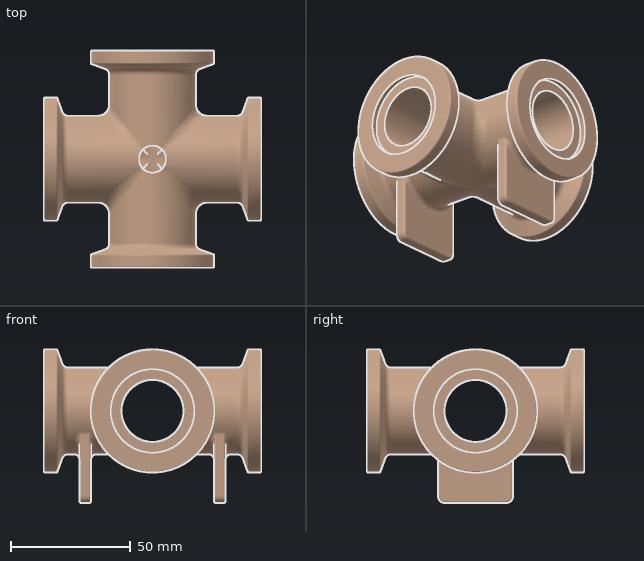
import cadquery as cq
import math

span = 91.2
half_span = span / 2
overall_height = 64.6
bore_radius = 25.9 / 2
pipe_radius = 36.6 / 2
crotch_fillet = 4.4

flange_radius = 51.8 / 2
rim_thickness = 5.65
taper_angle = 20.0
rim_fillet = 0.7
neck_fillet = 2.3
recess_radius = 35.0 / 2
recess_depth = 2.55

top_hole_radius = 11.3 / 2

fin_thickness = 5.0
fin_width = 31.55
fin_offset = 28.2
fin_bottom = flange_radius - overall_height
fin_top = -7.3
fin_corner_radius = 3.0
fin_edge_fillet = 1.0
fin_root_fillet = 2.0

selection_margin = 0.5


def edges_within(low, high):
    """Selector for the edges lying wholly inside the box between two corners."""
    return cq.selectors.BoxSelector(low, high, boundingbox=True)


def turned(shape, angle):
    """Copy of a shape turned about the Z axis."""
    return shape.rotate((0, 0, 0), (0, 0, 1), angle)


def flanged_pipe():
    """Solid pipe along X whose ends flare through blended tapers into rounded flange rims."""
    rim_back = half_span - rim_thickness
    taper_length = (flange_radius - pipe_radius) * math.tan(math.radians(taper_angle))
    taper_end = rim_back - taper_length
    profile = [
        (-half_span, 0),
        (-half_span, flange_radius),
        (-rim_back, flange_radius),
        (-taper_end, pipe_radius),
        (taper_end, pipe_radius),
        (rim_back, flange_radius),
        (half_span, flange_radius),
        (half_span, 0),
    ]
    pipe = cq.Workplane("XY").polyline(profile).close().revolve(360, (0, 0, 0), (1, 0, 0))
    reach = pipe_radius + selection_margin
    necks = edges_within((-half_span, -reach, -reach), (half_span, reach, reach))
    rim_circles = [edge for edge in pipe.edges("%CIRCLE").vals() if edge.radius() > reach]
    pipe = pipe.newObject(rim_circles).fillet(rim_fillet)
    return pipe.edges("%CIRCLE").edges(necks).fillet(neck_fillet)


def pipe_cross():
    """Two crossing flanged pipes with their crotches rounded."""
    cross = flanged_pipe().union(turned(flanged_pipe(), 90))
    reach = pipe_radius + selection_margin
    seams = edges_within((-reach, -reach, -reach), (reach, reach, reach))
    return cross.edges(seams).fillet(crotch_fillet)


def fin():
    """Upright plate centred on X = 0 with rounded lower corners and softened edges."""
    height = fin_top - fin_bottom
    plate = cq.Workplane("XY").box(fin_thickness, fin_width, height, centered=(True, True, False))
    plate = plate.edges("|X and <Z").fillet(fin_corner_radius)
    plate = plate.faces("<X or >X").edges("not >Z").fillet(fin_edge_fillet)
    return plate.translate((0, 0, fin_bottom))


def add_fin(body, centre_x):
    """Join a fin to the pipe and blend the seam between them."""
    joined = body.union(fin().translate((centre_x, 0, 0)))
    half_length = fin_thickness / 2 + selection_margin
    seam = edges_within(
        (centre_x - half_length, -pipe_radius, -pipe_radius - selection_margin),
        (centre_x + half_length, pipe_radius, fin_top),
    )
    return joined.edges(seam).fillet(fin_root_fillet)


def bore():
    """Cutter along X: a through bore with a shallow round recess in each flange face."""
    cutter = cq.Workplane("YZ").circle(bore_radius).extrude(half_span, both=True)
    for side in (-1, 1):
        face = cq.Workplane("YZ", origin=(side * half_span, 0, 0))
        cutter = cutter.union(face.circle(recess_radius).extrude(-side * recess_depth))
    return cutter


result = pipe_cross()

for side in (-1, 1):
    result = add_fin(result, side * fin_offset)

for angle in (0, 90):
    result = result.cut(turned(bore(), angle))

top_hole = cq.Workplane("XY").circle(top_hole_radius).extrude(pipe_radius)
result = result.cut(top_hole)